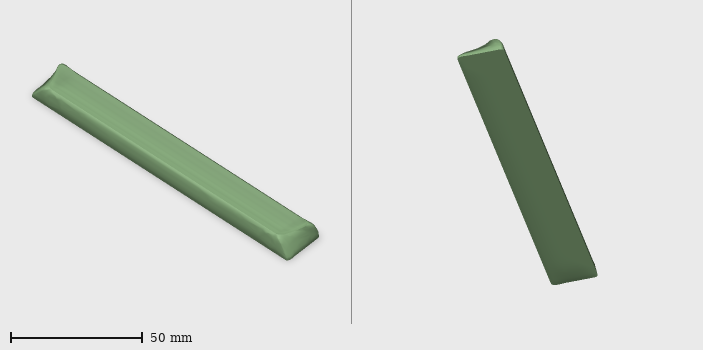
import cadquery as cq
import math

length = 132.4
width = 18.4
half_length = length / 2
half_width = width / 2

straight_half_length = 57.0

skin_rings = [
    dict(front=(-half_width, 0), back=(half_width, 0),
         front_corner=(0.1, 1.3), back_corner=(0.1, 0, 1.3), sag=0),
    dict(front=(-8.9, 3.0), back=(8.7, 2.9),
         front_corner=(1.9, 1.3), back_corner=(0.3, 3.2, 1.3), sag=0),
    dict(front=(-8.2, 5.8), back=(8.0, 5.3),
         front_corner=(4.5, 1.3), back_corner=(0.5, 5.8, 1.6), sag=0.3),
    dict(front=(-7.3, 7.2), back=(6.8, 6.5),
         front_corner=(6.6, 1.0), back_corner=(0.9, 7.5, 1.6), sag=0.5),
    dict(front=(-6.1, 7.7), back=(5.4, 7.3),
         front_corner=(8.2, 0.8), back_corner=(1.6, 8.3, 1.6), sag=0.5),
    dict(front=(-4.8, 8.6), back=(3.8, 8.6),
         front_corner=(8.3, 0.8), back_corner=(2.6, 8.6, 1.6), sag=0),
]

run_divisions = 5

dish_front_height = 8.5
dish_back_height = 7.3
dish_middle_height = 6.1
dish_curl_radius = 12.6
dish_curl_angle = 45.0
dish_clearance = 13.2


def rounded_corner(before, corner, after, radius):
    """Start, middle and end of the arc that rounds a corner."""
    to_before = (before - corner).normalized()
    to_after = (after - corner).normalized()
    half_angle = to_before.getAngle(to_after) / 2
    setback = radius / math.tan(half_angle)
    middle_distance = radius / math.sin(half_angle) - radius
    inward = (to_before + to_after).normalized()
    return [
        corner + to_before * setback,
        corner + inward * middle_distance,
        corner + to_after * setback,
    ]


def between(start, end, sag=0):
    """Evenly spaced points inside a run that may dip in the middle."""
    fractions = [i / run_divisions for i in range(1, run_divisions)]
    return [
        start + (end - start) * t - cq.Vector(0, 0, sag * math.sin(math.pi * t) ** 2)
        for t in fractions
    ]


def end_points(ring):
    """Points around the left end of a ring, from the front run to the back run."""
    front_y, front_z = ring["front"]
    back_y, back_z = ring["back"]
    front_inset, front_radius = ring["front_corner"]
    back_inset, corner_z, back_radius = ring["back_corner"]
    front_start = cq.Vector(-straight_half_length, front_y, front_z)
    front_corner = cq.Vector(-half_length + front_inset, front_y, front_z)
    back_corner = cq.Vector(-half_length + back_inset, back_y, corner_z)
    back_end = cq.Vector(-straight_half_length, back_y, back_z)
    front_arc = rounded_corner(front_start, front_corner, back_corner, front_radius)
    back_arc = rounded_corner(front_corner, back_corner, back_end, back_radius)
    return (
        [front_start]
        + between(front_start, front_arc[0])
        + front_arc
        + between(front_arc[-1], back_arc[0], ring["sag"])
        + back_arc
        + between(back_arc[-1], back_end)
        + [back_end]
    )


def arc_fractions(points):
    """How far along the whole chain each point lies, from 0 to 1."""
    travelled = [0.0]
    for start, end in zip(points, points[1:]):
        travelled.append(travelled[-1] + (end - start).Length)
    return [distance / travelled[-1] for distance in travelled]


def shared_parameters(rings):
    """Average spacing of the ring points, used for every ring so the skin stays smooth."""
    spacings = [arc_fractions(end_points(ring)) for ring in rings]
    return [sum(values) / len(values) for values in zip(*spacings)]


def ring_wire(ring, parameters):
    """Closed ring: a straight front and back joined by a smooth curve at each end."""
    left = end_points(ring)
    right = [cq.Vector(-p.x, p.y, p.z) for p in reversed(left)]
    outward = cq.Vector(1, 0, 0)
    return cq.Wire.assembleEdges(
        [
            cq.Edge.makeSpline(left, tangents=[-outward, outward], parameters=parameters),
            cq.Edge.makeLine(left[-1], right[0]),
            cq.Edge.makeSpline(
                right,
                tangents=[outward, -outward],
                parameters=[1 - t for t in reversed(parameters)],
            ),
            cq.Edge.makeLine(right[-1], left[0]),
        ]
    )


def dish_outline():
    """Section of the space above the dish, at the left end of the straight middle."""
    return (
        cq.Workplane("YZ", origin=(-straight_half_length, 0, 0))
        .moveTo(-half_width, dish_front_height)
        .threePointArc((0, dish_middle_height), (half_width, dish_back_height))
        .lineTo(half_width, dish_clearance)
        .lineTo(-half_width, dish_clearance)
        .close()
    )


middle_dish = dish_outline().extrude(2 * straight_half_length)
curl_axis_z = dish_middle_height + dish_curl_radius
end_dish = dish_outline().revolve(dish_curl_angle, (-1.3, curl_axis_z, 0), (1.3, curl_axis_z, 0))
dish = middle_dish.union(end_dish).union(end_dish.mirror("YZ"))

parameters = shared_parameters(skin_rings)
skin = cq.Workplane(cq.Solid.makeLoft([ring_wire(ring, parameters) for ring in skin_rings]))

result = skin.cut(dish)